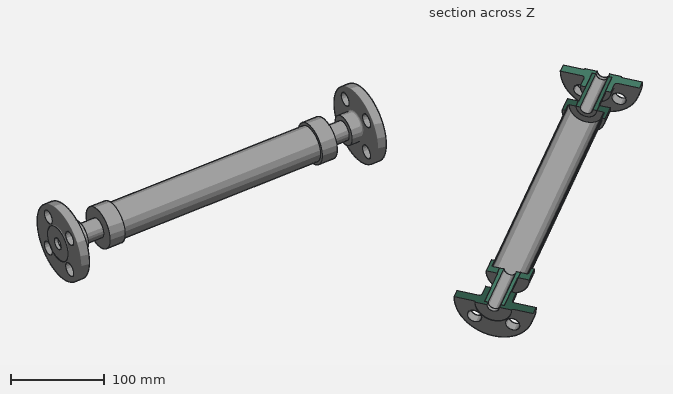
import cadquery as cq
import math

overall_length = 387.5
bore_diameter = 13.5

flange_diameter = 89.0
flange_thickness = 11.0
flange_edge_radius = 0.6
raised_face_diameter = 41.0
raised_face_height = 1.5
raised_face_fillet_radius = 1.35
hub_diameter = 34.5
hub_length = 15.5
hub_fillet_radius = 2.9
bolt_hole_diameter = 16.0
bolt_circle_diameter = 60.5
bolt_count = 4
first_bolt_angle = 45.0

nipple_diameter = 23.0
nipple_end_setback = 4.3

cap_diameter = 48.5
cap_length = 19.0
cap_wall_thickness = 9.3
tube_outer_diameter = 41.5
tube_inner_diameter = 38.5

half_length = overall_length / 2
flange_face = half_length - raised_face_height
flange_back = flange_face - flange_thickness
hub_end = flange_back - hub_length
cap_outer_end = 143.0
cap_inner_end = cap_outer_end - cap_length
tube_end = cap_outer_end - cap_wall_thickness
nipple_outer_end = half_length - nipple_end_setback
nipple_inner_end = tube_end


def cylinder(diameter, start, end):
    """Solid cylinder on the Y axis from Y = start to Y = end."""
    disc = cq.Workplane("XZ", origin=(0, start, 0)).circle(diameter / 2)
    return disc.extrude(start - end)


def fillet_root(body, root_position, diameter, radius):
    """Fillet the circular edge of the given diameter that lies at Y = root_position."""

    def is_root(edge):
        return (
            edge.geomType() == "CIRCLE"
            and math.isclose(edge.radius(), diameter / 2)
            and math.isclose(edge.Center().y, root_position)
        )

    return body.edges().filter(is_root).fillet(radius)


def make_tube():
    """Measuring tube, open at both ends."""
    outside = cylinder(tube_outer_diameter, -tube_end, tube_end)
    return outside.cut(cylinder(tube_inner_diameter, -tube_end, tube_end))


def make_cap():
    """Cap at the +Y end, with a socket for the tube and a hole for the nipple."""
    body = cylinder(cap_diameter, cap_inner_end, cap_outer_end)
    body = body.cut(cylinder(tube_outer_diameter, cap_inner_end, tube_end))
    return body.cut(cylinder(nipple_diameter, tube_end, cap_outer_end))


def make_nipple():
    """Short pipe at the +Y end, running from the cap into the flange hub."""
    outside = cylinder(nipple_diameter, nipple_inner_end, nipple_outer_end)
    return outside.cut(cylinder(bore_diameter, nipple_inner_end, nipple_outer_end))


def make_flange():
    """Socket flange at the +Y end, with a raised face, a hub and bolt holes."""
    disc = cylinder(flange_diameter, flange_back, flange_face)
    disc = disc.edges().fillet(flange_edge_radius)
    hub = cylinder(hub_diameter, hub_end, flange_back)
    raised_face = cylinder(raised_face_diameter, flange_face, half_length)
    body = disc.union(hub).union(raised_face)

    body = fillet_root(body, flange_back, hub_diameter, hub_fillet_radius)
    body = fillet_root(body, flange_face, raised_face_diameter, raised_face_fillet_radius)

    bolt_holes = (
        cq.Workplane("XZ", origin=(0, half_length, 0))
        .polarArray(bolt_circle_diameter / 2, first_bolt_angle, 360, bolt_count)
        .circle(bolt_hole_diameter / 2)
        .extrude(half_length - hub_end)
    )
    body = body.cut(bolt_holes)
    body = body.cut(cylinder(nipple_diameter, hub_end, nipple_outer_end))
    return body.cut(cylinder(bore_diameter, nipple_outer_end, half_length))


tube = make_tube().solids().val()
bodies = [tube]
for make_end_body in (make_cap, make_nipple, make_flange):
    end_body = make_end_body().solids().val()
    bodies += [end_body, end_body.mirror("XZ")]

result = cq.Compound.makeCompound(bodies)